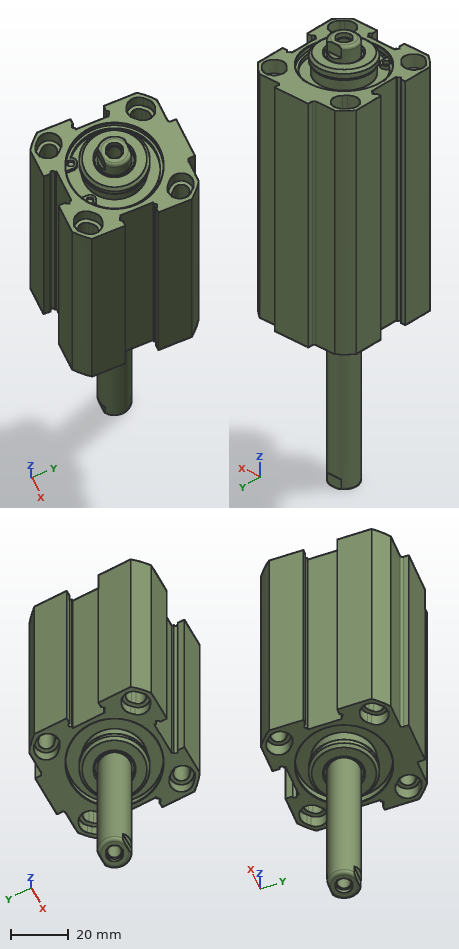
import cadquery as cq
import math

TOTAL_LENGTH = 181.5
HOUSING_BOTTOM = 70.8
HOUSING_LENGTH = 99.6
HOUSING_TOP = HOUSING_BOTTOM + HOUSING_LENGTH

WIDTH = 46.0
DEPTH = 48.1
CORNER_RADIUS = 29.8
RAIL_WIDTH = 15.8
RAIL_HEIGHT = 2.9
RAIL_FILLET = 0.9
SLOT_WIDTH = 12.5
SIDE_SLOT_DEPTH = 4.4
FRONT_SLOT_DEPTH = 4.9
NOTCH_DIAMETER = 1.6
NOTCH_TO_FLOOR = 1.5

HOLE_PITCH_X = 33.2
HOLE_PITCH_Y = 35.0
HOLE_STRETCH = 1.6
HOLE_WIDTH = 5.6
COUNTERBORE_WIDTH = 8.5
COUNTERBORE_DEPTH = 5.6

SEAT_DIAMETER = 33.8
SEAT_RIM_DIAMETER = 34.1
SEAT_RIM_DEPTH = (SEAT_RIM_DIAMETER - SEAT_DIAMETER) / 2
FLANGE_RECESS = 3.3
FLANGE_THICKNESS = 9.0
SEAT_DEPTH = FLANGE_RECESS + FLANGE_THICKNESS

NOSE_DIAMETER = 23.0
LIP_DIAMETER = 24.5
NOSE_HEIGHT = 5.0
NOSE_CHAMFER = 1.0
LIP_HEIGHT = 2.0
LIP_TAPER_HEIGHT = 1.0
SCRAPER_POCKET_DIAMETER = 13.6
SCRAPER_POCKET_DEPTH = 1.0
SCRAPER_POCKET_CHAMFER = 0.5

GROOVE_DIAMETER = 35.8
RING_INNER_DIAMETER = 31.5
RING_THICKNESS = 1.5
EAR_X = 8.0
EAR_Y = -12.9
EAR_RADIUS = 2.2
EAR_HOLE_DIAMETER = 2.5

ROD_DIAMETER = 12.0
ROD_EDGE_RADIUS = 1.3
FLAT_DISTANCE = 10.0
FLAT_LENGTH = 4.5
THREAD_HOLE_DIAMETER = 4.9
THREAD_MOUTH_DIAMETER = 6.2
THREAD_MOUTH_DEPTH = 1.8
THREAD_HOLE_DEPTH = 10.9
DRILL_POINT_ANGLE = 160.0


def slot_cutter(depth):
    """Slot cutting along +Y into a face at Y = 0, with a round notch in each wall."""
    overshoot = 1.8
    slot = cq.Workplane("XY").rect(SLOT_WIDTH, depth + overshoot).extrude(HOUSING_LENGTH)
    slot = slot.translate((0, (depth - overshoot) / 2, 0))
    notches = (
        cq.Workplane("XY")
        .pushPoints([(side * SLOT_WIDTH / 2, depth - NOTCH_TO_FLOOR) for side in (-1, 1)])
        .circle(NOTCH_DIAMETER / 2)
        .extrude(HOUSING_LENGTH)
    )
    return slot.union(notches)


def oblong_holes(width, height):
    """Four oblong prisms on the mounting hole pattern, each stretched across its own diagonal."""
    holes = cq.Workplane("XY")
    for side_x in (-1, 1):
        for side_y in (-1, 1):
            hole = (
                cq.Workplane("XY")
                .slot2D(width + HOLE_STRETCH, width, -45 * side_x * side_y)
                .extrude(height)
                .translate((side_x * HOLE_PITCH_X / 2, side_y * HOLE_PITCH_Y / 2, 0))
            )
            holes = holes.add(hole)
    return holes.combine()


def collar_seat():
    """Space for a collar in the top face of the housing, face at Z = 0."""
    return (
        cq.Workplane("XZ")
        .lineTo(SEAT_RIM_DIAMETER / 2, 0)
        .lineTo(SEAT_DIAMETER / 2, -SEAT_RIM_DEPTH)
        .lineTo(SEAT_DIAMETER / 2, -SEAT_DEPTH)
        .lineTo(0, -SEAT_DEPTH)
        .close()
        .revolve(360, (0, 0, 0), (0, 1, 0))
    )


def at_both_ends(shape):
    """Copies of a shape made about Z = 0: one on the top housing face and one mirrored on the bottom face."""
    upper = shape.translate((0, 0, HOUSING_TOP))
    lower = shape.mirror("XY").translate((0, 0, HOUSING_BOTTOM))
    return [upper, lower]


def make_housing():
    block = cq.Workplane("XY").rect(WIDTH, DEPTH).extrude(HOUSING_LENGTH)
    block = block.intersect(cq.Workplane("XY").circle(CORNER_RADIUS).extrude(HOUSING_LENGTH))

    rail = (
        cq.Workplane("XY")
        .moveTo(-RAIL_WIDTH / 2 - RAIL_FILLET, DEPTH / 2)
        .radiusArc((-RAIL_WIDTH / 2, DEPTH / 2 + RAIL_FILLET), -RAIL_FILLET)
        .lineTo(-RAIL_WIDTH / 2, DEPTH / 2 + RAIL_HEIGHT)
        .lineTo(RAIL_WIDTH / 2, DEPTH / 2 + RAIL_HEIGHT)
        .lineTo(RAIL_WIDTH / 2, DEPTH / 2 + RAIL_FILLET)
        .radiusArc((RAIL_WIDTH / 2 + RAIL_FILLET, DEPTH / 2), -RAIL_FILLET)
        .lineTo(RAIL_WIDTH / 2, DEPTH / 2 - RAIL_HEIGHT)
        .lineTo(-RAIL_WIDTH / 2, DEPTH / 2 - RAIL_HEIGHT)
        .close()
        .extrude(HOUSING_LENGTH)
    )
    block = block.union(rail)

    front_slot = slot_cutter(FRONT_SLOT_DEPTH).translate((0, -DEPTH / 2, 0))
    block = block.cut(front_slot)
    side_slot = slot_cutter(SIDE_SLOT_DEPTH).translate((0, -WIDTH / 2, 0))
    for angle in (90, -90):
        block = block.cut(side_slot.rotate((0, 0, 0), (0, 0, 1), angle))
    block = block.translate((0, 0, HOUSING_BOTTOM))

    block = block.cut(oblong_holes(HOLE_WIDTH, HOUSING_LENGTH).translate((0, 0, HOUSING_BOTTOM)))
    counterbores = oblong_holes(COUNTERBORE_WIDTH, -COUNTERBORE_DEPTH)
    for cutter in at_both_ends(counterbores) + at_both_ends(collar_seat()):
        block = block.cut(cutter)

    rod_bore = cq.Workplane("XY").circle(ROD_DIAMETER / 2).extrude(TOTAL_LENGTH)
    groove = cq.Workplane("XY").circle(GROOVE_DIAMETER / 2).extrude(RING_THICKNESS)
    groove = groove.translate((0, 0, HOUSING_TOP - FLANGE_RECESS))
    return block.cut(rod_bore).cut(groove)


def make_collar():
    """Flanged bush about Z = 0, which is the level of the housing face; the nose points up."""
    lip_top = NOSE_HEIGHT - NOSE_CHAMFER
    lip_bottom = lip_top - LIP_HEIGHT
    pocket_radius = SCRAPER_POCKET_DIAMETER / 2
    return (
        cq.Workplane("XZ")
        .moveTo(ROD_DIAMETER / 2, -SEAT_DEPTH)
        .lineTo(SEAT_DIAMETER / 2, -SEAT_DEPTH)
        .lineTo(SEAT_DIAMETER / 2, -FLANGE_RECESS)
        .lineTo(NOSE_DIAMETER / 2, -FLANGE_RECESS)
        .lineTo(NOSE_DIAMETER / 2, lip_bottom - LIP_TAPER_HEIGHT)
        .lineTo(LIP_DIAMETER / 2, lip_bottom)
        .lineTo(LIP_DIAMETER / 2, lip_top)
        .lineTo(LIP_DIAMETER / 2 - NOSE_CHAMFER, NOSE_HEIGHT)
        .lineTo(pocket_radius + SCRAPER_POCKET_CHAMFER, NOSE_HEIGHT)
        .lineTo(pocket_radius, NOSE_HEIGHT - SCRAPER_POCKET_CHAMFER)
        .lineTo(pocket_radius, NOSE_HEIGHT - SCRAPER_POCKET_DEPTH)
        .lineTo(ROD_DIAMETER / 2, NOSE_HEIGHT - SCRAPER_POCKET_DEPTH)
        .close()
        .revolve(360, (0, 0, 0), (0, 1, 0))
    )


def make_ring():
    """Open retaining ring with an eared end on each side of the gap."""
    outer_disc = cq.Workplane("XY").circle(GROOVE_DIAMETER / 2).extrude(RING_THICKNESS)
    seat_disc = cq.Workplane("XY").circle(SEAT_DIAMETER / 2).extrude(RING_THICKNESS)
    band = outer_disc.cut(cq.Workplane("XY").circle(RING_INNER_DIAMETER / 2).extrude(RING_THICKNESS))

    gap_width = 2 * (EAR_X - EAR_RADIUS)
    gap = cq.Workplane("XY").rect(gap_width, GROOVE_DIAMETER).extrude(RING_THICKNESS)
    band = band.cut(gap.translate((0, -GROOVE_DIAMETER / 2, 0)))

    for side in (-1, 1):
        ear = (
            cq.Workplane("XY")
            .moveTo(side * EAR_X - EAR_RADIUS, EAR_Y)
            .radiusArc((side * EAR_X + EAR_RADIUS, EAR_Y), EAR_RADIUS)
            .lineTo(side * EAR_X + EAR_RADIUS, -GROOVE_DIAMETER / 2)
            .lineTo(side * EAR_X - EAR_RADIUS, -GROOVE_DIAMETER / 2)
            .close()
            .extrude(RING_THICKNESS)
        )
        ear_hole = cq.Workplane("XY").center(side * EAR_X, EAR_Y).circle(EAR_HOLE_DIAMETER / 2)
        band = band.union(ear.intersect(seat_disc)).cut(ear_hole.extrude(RING_THICKNESS))
    return band.translate((0, 0, HOUSING_TOP - FLANGE_RECESS))


def rod_end_cutter():
    """Material removed from a rod end whose tip is at Z = 0: two wrench flats and a threaded hole."""
    half_flat = FLAT_DISTANCE / 2
    run_out = ROD_DIAMETER - half_flat
    flat = (
        cq.Workplane("YZ")
        .moveTo(half_flat, 0)
        .lineTo(half_flat, -FLAT_LENGTH)
        .lineTo(half_flat + run_out, -FLAT_LENGTH - run_out)
        .lineTo(half_flat + run_out, 0)
        .close()
        .extrude(ROD_DIAMETER, both=True)
    )
    hole_radius = THREAD_HOLE_DIAMETER / 2
    mouth_radius = THREAD_MOUTH_DIAMETER / 2
    point_height = hole_radius / math.tan(math.radians(DRILL_POINT_ANGLE / 2))
    hole = (
        cq.Workplane("XZ")
        .lineTo(mouth_radius, 0)
        .lineTo(mouth_radius, -THREAD_MOUTH_DEPTH)
        .lineTo(hole_radius, -THREAD_MOUTH_DEPTH)
        .lineTo(hole_radius, -THREAD_HOLE_DEPTH)
        .lineTo(0, -THREAD_HOLE_DEPTH - point_height)
        .close()
        .revolve(360, (0, 0, 0), (0, 1, 0))
    )
    return flat.union(flat.mirror("XZ")).union(hole)


def make_rod():
    rod = cq.Workplane("XY").circle(ROD_DIAMETER / 2).extrude(TOTAL_LENGTH)
    rod = rod.faces("<Z or >Z").fillet(ROD_EDGE_RADIUS)
    end = rod_end_cutter()
    return rod.cut(end.translate((0, 0, TOTAL_LENGTH))).cut(end.mirror("XY"))


housing = make_housing()
collars = at_both_ends(make_collar())
ring = make_ring()
rod = make_rod()

result = cq.Compound.makeCompound(
    [housing.val(), *[collar.val() for collar in collars], ring.val(), rod.val()]
)